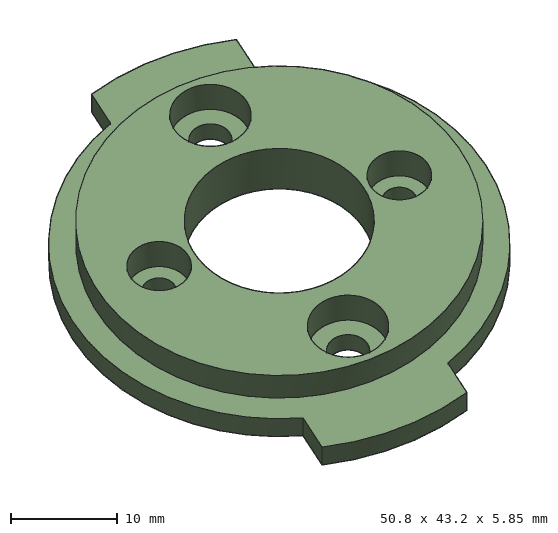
import cadquery as cq

ear_radius = 25.4
flange_radius = 21.6
boss_radius = 19.05
bore_radius = 8.9
flange_thickness = 2.6
total_height = 5.85
ear_width = 15.15

x_hole_offset = 14.5
x_hole_diameter = 4.05
x_counterbore_diameter = 7.6
y_hole_offset = 12.55
y_hole_diameter = 3.25
y_counterbore_diameter = 6.05
counterbore_depth = 3.6


def make_flange():
    """Round flange with two opposite ears ending on a concentric arc."""
    disc = cq.Workplane("XY").circle(flange_radius).extrude(flange_thickness)
    ear_bar = cq.Workplane("XY").rect(2 * ear_radius, ear_width).extrude(flange_thickness)
    ear_limit = cq.Workplane("XY").circle(ear_radius).extrude(flange_thickness)
    return disc.union(ear_bar.intersect(ear_limit))


def cut_counterbored_holes(body, centres, hole_diameter, counterbore_diameter):
    """Cut through holes counterbored from the top of the boss."""
    return (
        body.faces(">Z")
        .workplane(origin=(0, 0, total_height))
        .pushPoints(centres)
        .cboreHole(hole_diameter, counterbore_diameter, counterbore_depth)
    )


boss = cq.Workplane("XY").circle(boss_radius).extrude(total_height)
bore = cq.Workplane("XY").circle(bore_radius).extrude(total_height)
body = make_flange().union(boss).cut(bore)

x_centres = [(-x_hole_offset, 0), (x_hole_offset, 0)]
y_centres = [(0, -y_hole_offset), (0, y_hole_offset)]
body = cut_counterbored_holes(body, x_centres, x_hole_diameter, x_counterbore_diameter)
result = cut_counterbored_holes(body, y_centres, y_hole_diameter, y_counterbore_diameter)